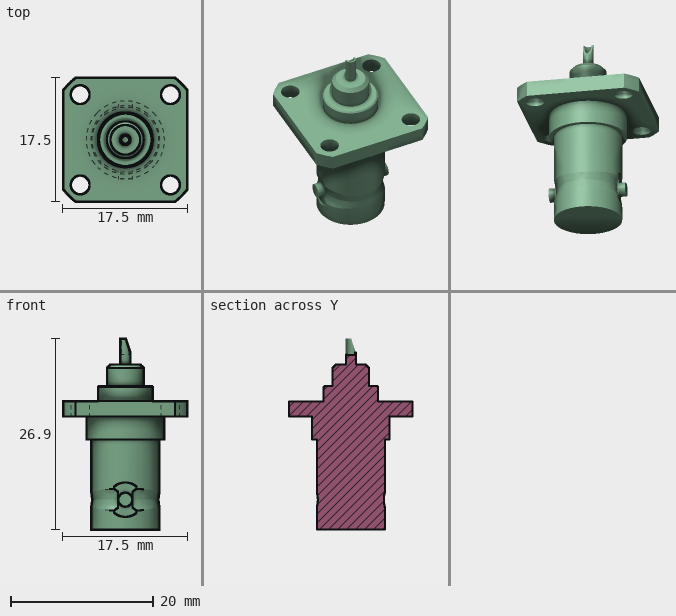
import cadquery as cq
import math

total_height = 26.93
collar_bottom_z = 12.7
flange_bottom_z = 15.97
flange_thickness = 2.18
boss_top_z = 20.28
insulator_top_z = 23.32

flange_side = 17.5
flange_corner_diameter = 22.4
mount_hole_spacing = 12.7
mount_hole_diameter = 2.6

body_diameter = 9.65
collar_diameter = 11.0
boss_diameter = 7.75
boss_chamfer = 0.2
insulator_diameter = 5.2
insulator_chamfer = 0.5

contact_diameter = 1.48
contact_bore_diameter = 1.1
contact_cut_height = 2.0
contact_cut_top_x = 0.08
contact_bore_depth = 2.25

lug_z = 4.25
lug_diameter = 2.0
lug_tip_y = collar_diameter / 2
flat_diameter = 4.85
flat_y = 4.55
groove_profile_radius = 4.05
groove_floor_x = 4.69
groove_floor_y = 4.5
clearance = 0.55

flange_top_z = flange_bottom_z + flange_thickness
body_radius = body_diameter / 2
contact_radius = contact_diameter / 2


def cylinder(diameter, bottom_z, top_z):
    """Upright cylinder on the part's axis."""
    return cq.Workplane("XY").workplane(offset=bottom_z).circle(diameter / 2).extrude(top_z - bottom_z)


def make_flange():
    """Square plate with arc corners and four mounting holes."""
    plate = (
        cq.Workplane("XY")
        .workplane(offset=flange_bottom_z)
        .rect(flange_side, flange_side)
        .extrude(flange_thickness)
        .intersect(cylinder(flange_corner_diameter, flange_bottom_z, flange_top_z))
    )
    return (
        plate.faces(">Z")
        .workplane(origin=(0, 0, flange_top_z))
        .rect(mount_hole_spacing, mount_hole_spacing, forConstruction=True)
        .vertices()
        .hole(mount_hole_diameter)
    )


def make_contact():
    """Hollow contact pin whose tip is cut away at a slant on the +X side."""
    pin = cylinder(contact_diameter, insulator_top_z, total_height)
    bore = cylinder(contact_bore_diameter, total_height - contact_bore_depth, total_height)
    slant = (
        cq.Workplane("XZ")
        .moveTo(contact_cut_top_x, total_height)
        .lineTo(contact_radius, total_height - contact_cut_height)
        .lineTo(contact_radius, total_height)
        .close()
        .extrude(contact_radius, both=True)
    )
    return pin.cut(bore).cut(slant)


def make_groove():
    """Arc-section groove along an elliptical floor line, left whole where the lugs stand."""
    outer_x = groove_floor_x + clearance
    half_height = math.sqrt(groove_profile_radius**2 - (groove_profile_radius - clearance) ** 2)
    path = cq.Workplane("XY", origin=(0, 0, lug_z)).ellipse(groove_floor_x, groove_floor_y)
    ring = (
        cq.Workplane("XZ")
        .moveTo(outer_x, lug_z - half_height)
        .radiusArc((groove_floor_x, lug_z), groove_profile_radius)
        .radiusArc((outer_x, lug_z + half_height), groove_profile_radius)
        .close()
        .sweep(path)
    )
    lug_strip = cq.Workplane("XY").box(lug_diameter, 2 * collar_diameter, 2 * total_height)
    return ring.cut(lug_strip)


def lug_axis_cylinder(diameter, start_y, end_y):
    """Cylinder along Y at lug height, mirrored to both sides of the part."""
    one_side = (
        cq.Workplane("XZ", origin=(0, start_y, lug_z))
        .circle(diameter / 2)
        .extrude(start_y - end_y)
    )
    return one_side.union(one_side.mirror("XZ"))


def make_bayonet_end():
    """Barrel below the collar, with groove, flats and lugs."""
    barrel = cylinder(body_diameter, 0, collar_bottom_z)
    barrel = barrel.cut(make_groove())
    barrel = barrel.cut(lug_axis_cylinder(flat_diameter, flat_y, body_radius + clearance))
    return barrel.union(lug_axis_cylinder(lug_diameter, flat_y - clearance, lug_tip_y))


boss = cylinder(boss_diameter, flange_top_z, boss_top_z).faces(">Z").chamfer(boss_chamfer)
insulator = cylinder(insulator_diameter, boss_top_z, insulator_top_z).faces(">Z").chamfer(insulator_chamfer)

result = (
    make_bayonet_end()
    .union(cylinder(collar_diameter, collar_bottom_z, flange_bottom_z))
    .union(make_flange())
    .union(boss)
    .union(insulator)
    .union(make_contact())
)